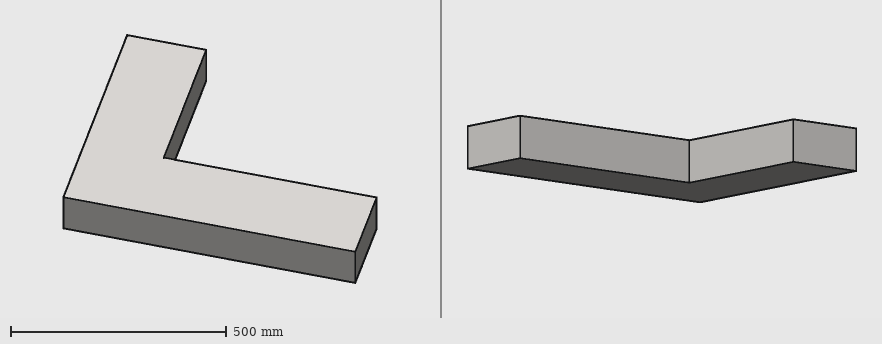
import cadquery as cq

length_x = 702.0
length_y = 567.0
arm_width = 190.0
thickness = 100.0
drop = 3.0


def sloped_arm(width_x, depth_y):
    """Bar of constant height whose top and bottom fall evenly toward +Y."""
    fall = drop * depth_y / length_y
    side_outline = [(0, 0), (depth_y, -fall), (depth_y, thickness - fall), (0, thickness)]
    return cq.Workplane("YZ").polyline(side_outline).close().extrude(width_x)


front_arm = sloped_arm(length_x, arm_width)
side_arm = sloped_arm(arm_width, length_y)

result = front_arm.union(side_arm, clean=True)